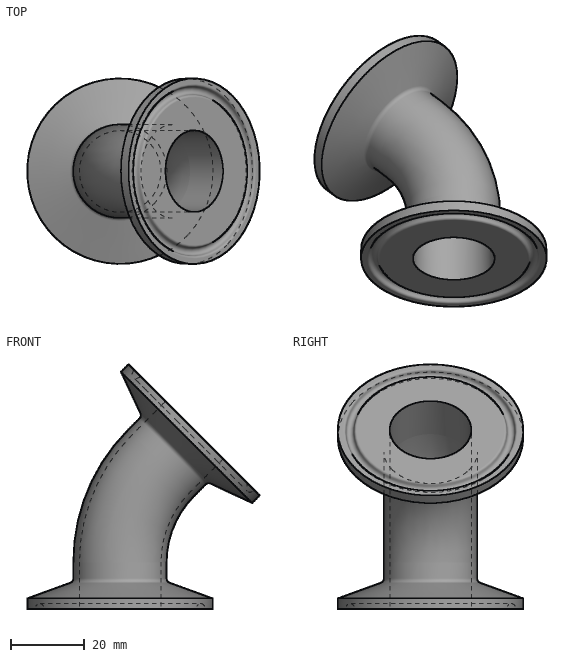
import cadquery as cq
import math

tube_diameter = 25.4
bore_diameter = 22.1
bend_angle = 45.0
bend_radius = 38.15

ferrule_length = 12.7
flange_diameter = 50.35
flange_edge_height = 2.9
flange_slope = 20.0
neck_fillet = 1.25

groove_diameter = 43.7
groove_depth = 1.6
groove_bottom_radius = 1.05
groove_rim_radius = 0.65
groove_flank_angle = 20.0

tube_radius = tube_diameter / 2
bore_radius = bore_diameter / 2
flange_radius = flange_diameter / 2


def ferrule_blank():
    """Solid ferrule: sealing face on Z = 0, neck pointing along +Z."""
    slope = math.radians(flange_slope)
    neck_start = flange_edge_height + (flange_radius - tube_radius) * math.tan(slope)
    tangent_length = neck_fillet * math.tan((math.pi / 2 - slope) / 2)
    fillet_base = (
        tube_radius + tangent_length * math.cos(slope),
        neck_start - tangent_length * math.sin(slope),
    )
    fillet_top = (tube_radius, neck_start + tangent_length)
    return (
        cq.Workplane("XZ")
        .lineTo(flange_radius, 0)
        .lineTo(flange_radius, flange_edge_height)
        .lineTo(*fillet_base)
        .radiusArc(fillet_top, neck_fillet)
        .lineTo(tube_radius, ferrule_length)
        .lineTo(0, ferrule_length)
        .close()
        .revolve(360, (0, 0, 0), (0, 1, 0))
    )


def gasket_groove():
    """Ring with rounded bottom, sloped flanks and rounded rims, open at Z = 0."""
    flank = math.radians(groove_flank_angle)
    center = groove_diameter / 2

    bottom_center_depth = groove_depth - groove_bottom_radius
    bottom_half_width = groove_bottom_radius * math.cos(flank)
    bottom_end_depth = bottom_center_depth + groove_bottom_radius * math.sin(flank)
    rim_end_depth = groove_rim_radius * (1 - math.sin(flank))
    rim_half_width = bottom_half_width + (bottom_end_depth - rim_end_depth) * math.tan(flank)
    opening_half_width = rim_half_width + groove_rim_radius * math.cos(flank)

    return (
        cq.Workplane("XZ")
        .moveTo(center - opening_half_width, 0)
        .radiusArc((center - rim_half_width, rim_end_depth), -groove_rim_radius)
        .lineTo(center - bottom_half_width, bottom_end_depth)
        .threePointArc((center, groove_depth), (center + bottom_half_width, bottom_end_depth))
        .lineTo(center + rim_half_width, rim_end_depth)
        .radiusArc((center + opening_half_width, 0), -groove_rim_radius)
        .close()
        .revolve(360, (0, 0, 0), (0, 1, 0))
    )


def bend(radius):
    """Solid bend rising from the lower ferrule and turning toward +X."""
    return (
        cq.Workplane("XY")
        .workplane(offset=ferrule_length)
        .circle(radius)
        .revolve(bend_angle, (bend_radius, 0, 0), (bend_radius, 1, 0))
    )


def at_far_end(body):
    """Move a body from the lower end to the matching place on the upper end."""
    bend_axis = ((bend_radius, 0, ferrule_length), (bend_radius, 1, ferrule_length))
    flipped = body.rotate((0, 0, ferrule_length), (0, 1, ferrule_length), 180)
    return flipped.rotate(*bend_axis, bend_angle)


ferrule = ferrule_blank().cut(gasket_groove())
ferrule_bore = cq.Workplane("XY").circle(bore_radius).extrude(ferrule_length)

outside = bend(tube_radius).union(ferrule).union(at_far_end(ferrule))
passage = bend(bore_radius).union(ferrule_bore).union(at_far_end(ferrule_bore))

result = outside.cut(passage)